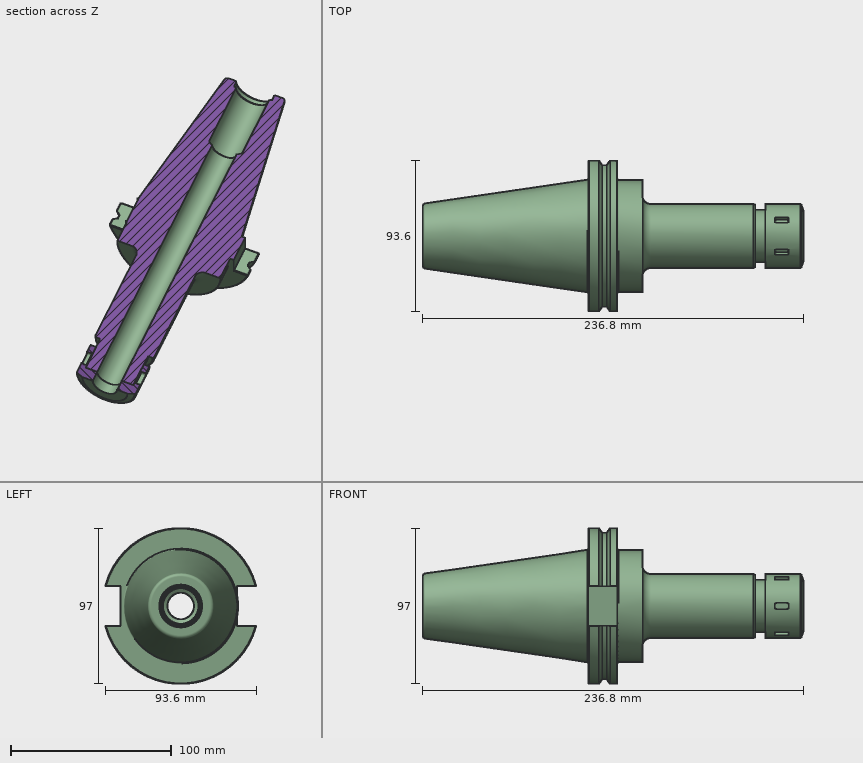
import cadquery as cq
import math

TOTAL_LENGTH = 236.8
TAPER_END_X = 102.3
FLANGE_BACK_X = 121.0
COLLAR_END_X = 136.5
NECK_END_X = 206.7
NUT_START_X = 212.9

TAPER_LARGE_DIAMETER = 70.0
TAPER_RATE = 7 / 24
TAPER_TIP_FILLET = 2.1
ROOT_FILLET = 0.7
FLANGE_DIAMETER = 97.0
FLANGE_CHAMFER = 0.5
COLLAR_DIAMETER = 69.8
NECK_DIAMETER = 40.0
NECK_FILLET = 5.0
NECK_CHAMFER_LENGTH = 1.2
NECK_CHAMFER_HEIGHT = 0.7
SPIGOT_DIAMETER = 32.7

GROOVE_CENTRE_X = 113.0
GROOVE_FLOOR_WIDTH = 2.8
GROOVE_DEPTH = 2.8
GROOVE_FLANK_ANGLE = 36.0

DRIVE_SLOT_WIDTH = 24.5
DRIVE_SLOT_FLOOR_PLUS_Y = 37.5
DRIVE_SLOT_FLOOR_MINUS_Y = 35.0

RECESS_MOUTH_DIAMETER = 26.8
RECESS_DIAMETER = 25.3
RECESS_DEPTH = 4.3
BORE_CHAMFER_DIAMETER = 23.5
BORE_DIAMETER = 22.0
BORE_DEPTH = 47.4
THROUGH_DIAMETER = 16.3
DRILL_TIP_HALF_ANGLE = 59.0

NUT_DIAMETER = 40.0
NUT_RIM_CHAMFER = 0.7
NUT_FACE_DIAMETER = 30.5
NUT_CONE_LENGTH = 1.5
NUT_WALL = 7.0

WRENCH_SLOT_COUNT = 6
WRENCH_SLOT_LENGTH = 8.8
WRENCH_SLOT_WIDTH = 3.8
WRENCH_SLOT_DEPTH = 3.3
WRENCH_SLOT_CORNER = 1.2
WRENCH_SLOT_CENTRE_X = 223.0

SPIGOT_END_X = TOTAL_LENGTH - NUT_WALL
FLANGE_FRONT_X = TAPER_END_X + ROOT_FILLET


def revolve_about_x(profile):
    """Turn a closed (x, radius) profile about the X axis."""
    return profile.close().revolve(360, (0, 0, 0), (1, 0, 0))


def turned_cylinder(start_x, end_x, diameter):
    """Solid cylinder on the X axis."""
    return cq.Workplane("YZ").workplane(offset=start_x).circle(diameter / 2).extrude(end_x - start_x)


def taper_and_shank():
    taper_radius = TAPER_LARGE_DIAMETER / 2
    tip_radius = taper_radius - TAPER_END_X * TAPER_RATE / 2
    taper = revolve_about_x(
        cq.Workplane("XY")
        .moveTo(0, 0)
        .lineTo(0, tip_radius)
        .lineTo(TAPER_END_X, taper_radius)
        .lineTo(TAPER_END_X, 0)
    ).faces("<X").edges().fillet(TAPER_TIP_FILLET)

    collar_radius = COLLAR_DIAMETER / 2
    neck_radius = NECK_DIAMETER / 2
    spigot_radius = SPIGOT_DIAMETER / 2
    shank = revolve_about_x(
        cq.Workplane("XY")
        .moveTo(TAPER_END_X, 0)
        .lineTo(TAPER_END_X, taper_radius)
        .radiusArc((FLANGE_FRONT_X, taper_radius + ROOT_FILLET), -ROOT_FILLET)
        .lineTo(FLANGE_BACK_X, taper_radius + ROOT_FILLET)
        .lineTo(FLANGE_BACK_X, collar_radius + ROOT_FILLET)
        .radiusArc((FLANGE_BACK_X + ROOT_FILLET, collar_radius), -ROOT_FILLET)
        .lineTo(COLLAR_END_X, collar_radius)
        .lineTo(COLLAR_END_X, neck_radius + NECK_FILLET)
        .radiusArc((COLLAR_END_X + NECK_FILLET, neck_radius), -NECK_FILLET)
        .lineTo(NECK_END_X - NECK_CHAMFER_LENGTH, neck_radius)
        .lineTo(NECK_END_X, neck_radius - NECK_CHAMFER_HEIGHT)
        .lineTo(NECK_END_X, spigot_radius)
        .lineTo(SPIGOT_END_X, spigot_radius)
        .lineTo(SPIGOT_END_X, 0)
    )
    return taper.union(shank)


def flange_groove():
    outer_radius = FLANGE_DIAMETER / 2
    half_floor = GROOVE_FLOOR_WIDTH / 2
    half_mouth = half_floor + GROOVE_DEPTH * math.tan(math.radians(GROOVE_FLANK_ANGLE))
    return revolve_about_x(
        cq.Workplane("XY")
        .moveTo(GROOVE_CENTRE_X - half_mouth, outer_radius)
        .lineTo(GROOVE_CENTRE_X - half_floor, outer_radius - GROOVE_DEPTH)
        .lineTo(GROOVE_CENTRE_X + half_floor, outer_radius - GROOVE_DEPTH)
        .lineTo(GROOVE_CENTRE_X + half_mouth, outer_radius)
    )


def drive_slot(side, floor_distance):
    """Slot across the full flange width, on the +Y (side = 1) or -Y (side = -1) side."""
    depth = FLANGE_DIAMETER / 2 - floor_distance
    width = FLANGE_BACK_X - FLANGE_FRONT_X
    centre = (FLANGE_FRONT_X + width / 2, side * (floor_distance + depth / 2), 0)
    return cq.Workplane("XY").box(width, depth, DRIVE_SLOT_WIDTH).translate(centre)


def cut_drive_slots(body):
    body = body.cut(drive_slot(1, DRIVE_SLOT_FLOOR_PLUS_Y))
    return body.cut(drive_slot(-1, DRIVE_SLOT_FLOOR_MINUS_Y))


def drive_flange():
    disc = cut_drive_slots(turned_cylinder(FLANGE_FRONT_X, FLANGE_BACK_X, FLANGE_DIAMETER))
    rim_edges = disc.faces("%CYLINDER").edges()
    slot_wall_edges = disc.edges("|Y")
    return rim_edges.add(slot_wall_edges).chamfer(FLANGE_CHAMFER).cut(flange_groove())


def holder_bore():
    bore_radius = BORE_DIAMETER / 2
    through_radius = THROUGH_DIAMETER / 2
    mouth_chamfer = (RECESS_MOUTH_DIAMETER - RECESS_DIAMETER) / 2
    entry_chamfer = (BORE_CHAMFER_DIAMETER - BORE_DIAMETER) / 2
    drill_tip = (bore_radius - through_radius) / math.tan(math.radians(DRILL_TIP_HALF_ANGLE))
    return revolve_about_x(
        cq.Workplane("XY")
        .moveTo(0, 0)
        .lineTo(0, RECESS_MOUTH_DIAMETER / 2)
        .lineTo(mouth_chamfer, RECESS_DIAMETER / 2)
        .lineTo(RECESS_DEPTH, RECESS_DIAMETER / 2)
        .lineTo(RECESS_DEPTH, BORE_CHAMFER_DIAMETER / 2)
        .lineTo(RECESS_DEPTH + entry_chamfer, bore_radius)
        .lineTo(BORE_DEPTH, bore_radius)
        .lineTo(BORE_DEPTH + drill_tip, through_radius)
        .lineTo(SPIGOT_END_X, through_radius)
        .lineTo(SPIGOT_END_X, 0)
    )


def make_holder():
    core = cut_drive_slots(taper_and_shank())
    return core.union(drive_flange()).cut(holder_bore())


def wrench_slots():
    slot = (
        cq.Workplane("XY")
        .box(WRENCH_SLOT_LENGTH, WRENCH_SLOT_WIDTH, 2 * WRENCH_SLOT_DEPTH)
        .edges("|Z")
        .fillet(WRENCH_SLOT_CORNER)
        .translate((WRENCH_SLOT_CENTRE_X, 0, NUT_DIAMETER / 2))
    )
    angles = [90 + index * 360 / WRENCH_SLOT_COUNT for index in range(WRENCH_SLOT_COUNT)]
    return [slot.rotate((0, 0, 0), (1, 0, 0), angle) for angle in angles]


def make_nut():
    radius = NUT_DIAMETER / 2
    cone_start_x = TOTAL_LENGTH - NUT_CONE_LENGTH
    nut = revolve_about_x(
        cq.Workplane("XY")
        .moveTo(NUT_START_X, SPIGOT_DIAMETER / 2)
        .lineTo(NUT_START_X, radius)
        .lineTo(cone_start_x - NUT_RIM_CHAMFER, radius)
        .lineTo(cone_start_x, radius - NUT_RIM_CHAMFER)
        .lineTo(TOTAL_LENGTH, NUT_FACE_DIAMETER / 2)
        .lineTo(TOTAL_LENGTH, THROUGH_DIAMETER / 2)
        .lineTo(SPIGOT_END_X, THROUGH_DIAMETER / 2)
        .lineTo(SPIGOT_END_X, SPIGOT_DIAMETER / 2)
    )
    for slot in wrench_slots():
        nut = nut.cut(slot)
    return nut


holder = make_holder()
nut = make_nut()
result = cq.Compound.makeCompound([holder.val(), nut.val()])